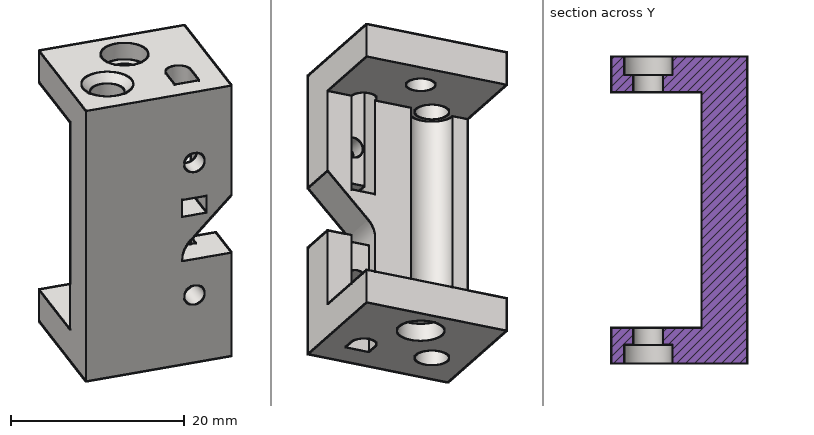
import cadquery as cq

LENGTH_X = 15.7
WIDTH_Y = 17.9
HEIGHT_Z = 35.4
PLATE = 4.15
WALL_FACE_X = 10.4
MID_Y = WIDTH_Y / 2
INNER_TOP = HEIGHT_Z - PLATE

ROD_OFFSET_Y = 4.37
ROD_X = WALL_FACE_X
ROD_Y = MID_Y - ROD_OFFSET_Y
ROD_HOLE_D = 4.0
CHANNEL_D = 5.3
COUNTERSINK_D = 6.0
COUNTERSINK_DEPTH = (COUNTERSINK_D - ROD_HOLE_D) / 2

SCREW_X = 4.27
SCREW_D = 3.4
COUNTERBORE_D = 5.5
SCREW_SEAT = 2.0
COUNTERBORE_DEPTH = PLATE - SCREW_SEAT

SLOT_Y = MID_Y + ROD_OFFSET_Y
SLOT_WIDTH = 3.0
UPPER_SLOT_DEPTH = 2.8
LOWER_SLOT_DEPTH = 1.7

WINDOW_BOTTOM = 19.35
WINDOW_HEIGHT = 2.2

NOTCH_FLOOR = 13.55
NOTCH_TOP = 21.1
NOTCH_INNER_Y = SLOT_Y - SLOT_WIDTH / 2
NOTCH_CORNER_RADIUS = 3.0
NOTCH_CORNER_Z = NOTCH_TOP - (WIDTH_Y - NOTCH_INNER_Y)

CROSS_HOLE_D = 2.5
CROSS_HOLE_HEIGHTS = ((PLATE + NOTCH_FLOOR) / 2, (NOTCH_TOP + INNER_TOP) / 2)


def box(x0, x1, y0, y1, z0, z1):
    """Box between two opposite corners."""
    return cq.Workplane("XY").box(x1 - x0, y1 - y0, z1 - z0, centered=False).translate((x0, y0, z0))


def upright(diameter, x, y, z0, z1):
    """Cylinder along Z."""
    return cq.Workplane("XY", origin=(x, y, z0)).circle(diameter / 2).extrude(z1 - z0)


def bracket():
    block = box(0, LENGTH_X, 0, WIDTH_Y, 0, HEIGHT_Z)
    opening = box(0, WALL_FACE_X, 0, WIDTH_Y, PLATE, INNER_TOP)
    return block.cut(opening)


def rod_channel():
    hole = upright(ROD_HOLE_D, ROD_X, ROD_Y, 0, HEIGHT_Z)
    channel = upright(CHANNEL_D, ROD_X, ROD_Y, PLATE, INNER_TOP)
    countersink = (
        cq.Workplane("XY", origin=(ROD_X, ROD_Y, HEIGHT_Z - COUNTERSINK_DEPTH))
        .circle(ROD_HOLE_D / 2)
        .workplane(offset=COUNTERSINK_DEPTH)
        .circle(COUNTERSINK_D / 2)
        .loft()
    )
    return hole.union(channel).union(countersink)


def screw_hole():
    hole = upright(SCREW_D, SCREW_X, MID_Y, 0, HEIGHT_Z)
    top_bore = upright(COUNTERBORE_D, SCREW_X, MID_Y, HEIGHT_Z - COUNTERBORE_DEPTH, HEIGHT_Z)
    bottom_bore = upright(COUNTERBORE_D, SCREW_X, MID_Y, 0, COUNTERBORE_DEPTH)
    return hole.union(top_bore).union(bottom_bore)


def slot():
    """Rounded half clears the plates; the square half is cut only above the window and below the notch."""
    y0 = SLOT_Y - SLOT_WIDTH / 2
    y1 = SLOT_Y + SLOT_WIDTH / 2
    lower_back = WALL_FACE_X + LOWER_SLOT_DEPTH
    upper_back = WALL_FACE_X + UPPER_SLOT_DEPTH
    round_half = upright(SLOT_WIDTH, WALL_FACE_X, SLOT_Y, 0, HEIGHT_Z).intersect(
        box(0, WALL_FACE_X, y0, y1, 0, HEIGHT_Z)
    )
    lower = box(WALL_FACE_X, lower_back, y0, y1, 0, NOTCH_FLOOR)
    upper = box(WALL_FACE_X, upper_back, y0, y1, WINDOW_BOTTOM, HEIGHT_Z)
    window = box(WALL_FACE_X, LENGTH_X, y0, y1, WINDOW_BOTTOM, WINDOW_BOTTOM + WINDOW_HEIGHT)
    return round_half.union(lower).union(upper).union(window)


def notch():
    outline = [
        (WIDTH_Y, NOTCH_FLOOR),
        (WIDTH_Y, NOTCH_TOP),
        (NOTCH_INNER_Y, NOTCH_CORNER_Z),
        (NOTCH_INNER_Y, NOTCH_FLOOR),
    ]
    prism = cq.Workplane("YZ", origin=(WALL_FACE_X, 0, 0)).polyline(outline).close()
    prism = prism.extrude(LENGTH_X - WALL_FACE_X)
    inner_corner = cq.selectors.NearestToPointSelector(
        ((WALL_FACE_X + LENGTH_X) / 2, NOTCH_INNER_Y, NOTCH_CORNER_Z)
    )
    return prism.edges("|X").edges(inner_corner).fillet(NOTCH_CORNER_RADIUS)


def cross_holes():
    centres = [(SLOT_Y, z) for z in CROSS_HOLE_HEIGHTS]
    plane = cq.Workplane("YZ", origin=(WALL_FACE_X, 0, 0))
    return plane.pushPoints(centres).circle(CROSS_HOLE_D / 2).extrude(LENGTH_X - WALL_FACE_X)


result = bracket()
for cutter in (rod_channel(), screw_hole(), slot(), notch(), cross_holes()):
    result = result.cut(cutter)